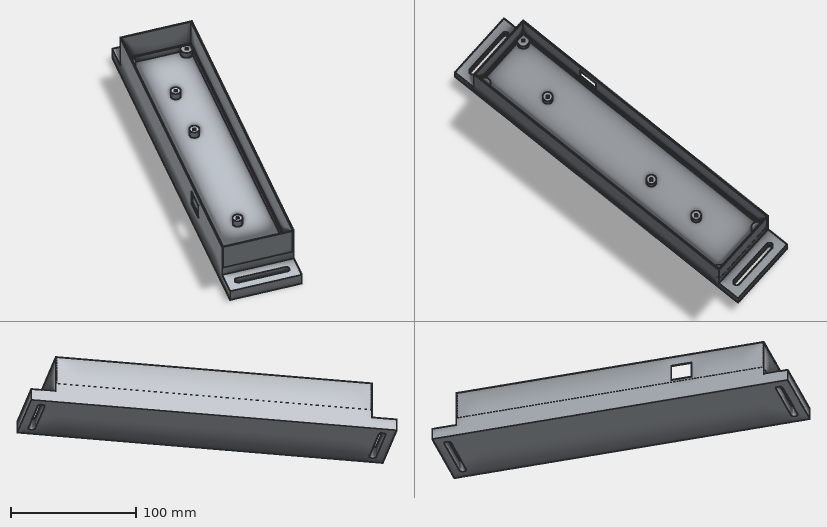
import cadquery as cq

plate_length = 297.2
plate_width = 60.5
plate_height = 9.7

flange_length = 20.0
box_length = plate_length - 2 * flange_length
box_top = 40.0
upper_end_wall = 0.75
upper_side_wall = 1.0
ledge_width = 1.2
ledge_z = 16.7
floor_z = 11.0

slot_length = 46.0
slot_width = 5.5
slot_x = plate_length / 2 - flange_length / 2

screw_hole_diameter = 2.5
corner_boss_diameter = 10.0
corner_boss_top = 16.4
corner_boss_end_inset = 5.6
corner_boss_side_inset = 6.3
corner_boss_x = box_length / 2 - corner_boss_end_inset
corner_boss_y = plate_width / 2 - corner_boss_side_inset
middle_boss_diameter = 8.0
middle_boss_top = 17.0
middle_boss_xs = (-78.9, -31.8, 77.0)

window_length = 17.0
window_height = 13.4
window_x = 59.7
window_z = 25.2


def block(length, width, bottom, top):
    """Box centred on X and Y between two heights."""
    return cq.Workplane("XY").workplane(offset=bottom).rect(length, width).extrude(top - bottom)


def housing():
    """Plate and box with a cavity that is wider above the ledge."""
    plate = block(plate_length, plate_width, 0, plate_height)
    body = plate.union(block(box_length, plate_width, 0, box_top))
    upper_length = box_length - 2 * upper_end_wall
    upper_width = plate_width - 2 * upper_side_wall
    upper_cavity = block(upper_length, upper_width, ledge_z, box_top)
    lower_cavity = block(upper_length - 2 * ledge_width, upper_width - 2 * ledge_width, floor_z, box_top)
    return body.cut(lower_cavity).cut(upper_cavity)


def cylinders(points, diameter, top):
    """Vertical cylinders from the floor up to the given height."""
    floor = cq.Workplane("XY").workplane(offset=floor_z)
    return floor.pushPoints(points).circle(diameter / 2).extrude(top - floor_z)


def add_bosses(body, points, diameter, top):
    """Add bosses, each with a screw hole down to floor level."""
    bossed = body.union(cylinders(points, diameter, top))
    return bossed.cut(cylinders(points, screw_hole_diameter, top))


def flange_slots():
    """Slots through both flanges, running along Y."""
    slots = cq.Workplane("XY").pushPoints([(-slot_x, 0), (slot_x, 0)])
    return slots.slot2D(slot_length, slot_width, 90).extrude(plate_height)


def window():
    """Cutter for the opening in the -Y wall."""
    depth = 4 * upper_side_wall
    cutter = cq.Workplane("XY").box(window_length, depth, window_height)
    return cutter.translate((window_x, -plate_width / 2, window_z))


corner_points = [(x, y) for x in (-corner_boss_x, corner_boss_x) for y in (-corner_boss_y, corner_boss_y)]
middle_points = [(x, 0) for x in middle_boss_xs]

result = housing().cut(flange_slots()).cut(window())
result = add_bosses(result, corner_points, corner_boss_diameter, corner_boss_top)
result = add_bosses(result, middle_points, middle_boss_diameter, middle_boss_top)